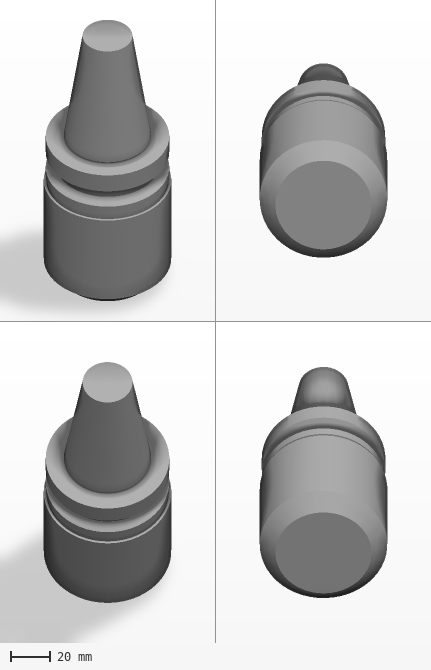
import cadquery as cq
import math

shank_length = 65.4
gauge_diameter = 44.45
taper_ratio = 7 / 24
neck_diameter = 43.85
neck_bevel_height = 0.45
neck_fillet = 0.5

flange_diameter = 62.98
flange_top_gap = 1.0
flange_depth = 27.0
groove_diameter = 53.0
groove_centre_depth = 16.6
groove_floor_width = 5.2
groove_wall_height = 2.45

recess_top_diameter = 50.0
recess_floor_diameter = 47.6
recess_depth = 0.3

collar_diameter = 62.5
collar_depth = 30.0
body_diameter = 65.0
body_depth = 90.0
nose_chamfer = 8.0

flange_top = -flange_top_gap
recess_floor = flange_top - recess_depth
groove_floor_top = -groove_centre_depth + groove_floor_width / 2
groove_floor_bottom = -groove_centre_depth - groove_floor_width / 2
groove_top = groove_floor_top + groove_wall_height
groove_bottom = groove_floor_bottom - groove_wall_height
shank_end_diameter = gauge_diameter - shank_length * taper_ratio

neck_root_diameter = neck_diameter + 2 * neck_fillet
fillet_drop = neck_fillet * math.sqrt(0.5)
fillet_middle = (
    neck_root_diameter / 2 - fillet_drop,
    recess_floor + neck_fillet - fillet_drop,
)


def profile_points(corners):
    """Turn (diameter, height) corners into (radius, height) points."""
    return [(diameter / 2, height) for diameter, height in corners]


shank_corners = [
    (0, shank_length),
    (shank_end_diameter, shank_length),
    (gauge_diameter, 0),
    (neck_diameter, -neck_bevel_height),
    (neck_diameter, recess_floor + neck_fillet),
]

flange_corners = [
    (neck_root_diameter, recess_floor),
    (recess_floor_diameter, recess_floor),
    (recess_top_diameter, flange_top),
    (flange_diameter, flange_top),
    (flange_diameter, groove_top),
    (groove_diameter, groove_floor_top),
    (groove_diameter, groove_floor_bottom),
    (flange_diameter, groove_bottom),
    (flange_diameter, -flange_depth),
]

body_corners = [
    (collar_diameter, -flange_depth),
    (collar_diameter, -collar_depth),
    (body_diameter, -collar_depth),
    (body_diameter, -body_depth + nose_chamfer),
    (body_diameter - 2 * nose_chamfer, -body_depth),
    (0, -body_depth),
]

shank_points = profile_points(shank_corners)
lower_points = profile_points(flange_corners + body_corners)

half_profile = (
    cq.Workplane("XZ")
    .polyline(shank_points)
    .threePointArc(fillet_middle, lower_points[0])
    .polyline(lower_points[1:], includeCurrent=True)
    .close()
)

result = half_profile.revolve(360, (0, 0, 0), (0, 1, 0))